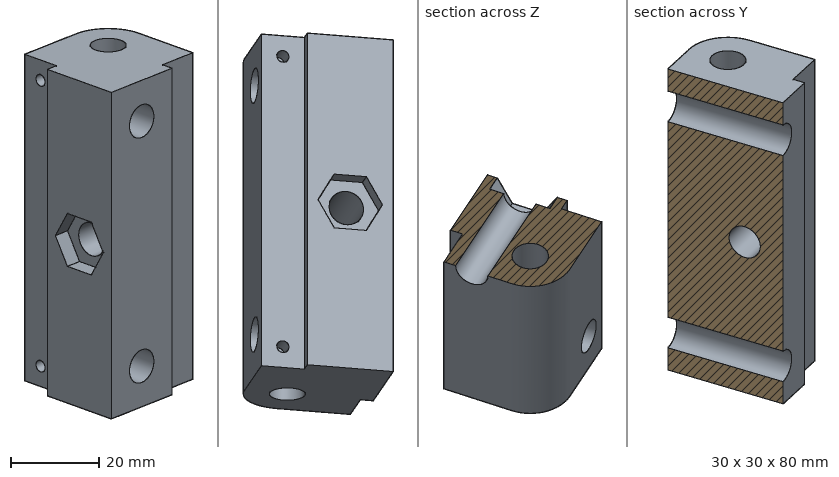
import cadquery as cq

width = 30.0
height = 80.0

corner_radius = width / 3
bore_diameter = 8.2

step_length = corner_radius
step_depth = width / 10

cross_diameter = 8.0
cross_offset = width / 3
side_hole_inset = 10.0
hex_across_flats = 13.0
hex_corner_ratio = 2 / 3**0.5
hex_depth = 4.0

pin_diameter = 2.8
pin_inset = step_length / 2
pin_depth = 4.8


def make_body():
    """Stepped profile with one rounded corner."""
    return (
        cq.Workplane("XY")
        .moveTo(0, step_depth)
        .lineTo(step_length, step_depth)
        .lineTo(step_length, 0)
        .lineTo(width, 0)
        .lineTo(width, width - step_length)
        .lineTo(width - step_depth, width - step_length)
        .lineTo(width - step_depth, width)
        .lineTo(corner_radius, width)
        .radiusArc((0, width - corner_radius), -corner_radius)
        .close()
        .extrude(height)
    )


def front_plane(y):
    """Workplane at the given Y, facing into the part: local x = X, local y = -Z."""
    return cq.Workplane(cq.Plane(origin=(0, y, 0), xDir=(1, 0, 0), normal=(0, 1, 0)))


def lengthwise_bore():
    return (
        cq.Workplane("XY")
        .center(corner_radius, width - corner_radius)
        .circle(bore_diameter / 2)
        .extrude(height)
    )


def side_holes():
    """Two holes along X, near the top and bottom ends."""
    return (
        cq.Workplane("YZ")
        .pushPoints([(cross_offset, z) for z in (side_hole_inset, height - side_hole_inset)])
        .circle(cross_diameter / 2)
        .extrude(width)
    )


def nut_hole():
    """Hole along Y at mid-height, with a hexagonal nut pocket at the front."""
    center = (width - cross_offset, -height / 2)
    hole = front_plane(0).center(*center).circle(cross_diameter / 2).extrude(width)
    hex_diameter = hex_across_flats * hex_corner_ratio
    pocket = front_plane(0).center(*center).polygon(6, hex_diameter).extrude(hex_depth)
    return hole.union(pocket)


def pin_holes():
    return (
        front_plane(step_depth)
        .pushPoints([(pin_inset, -z) for z in (pin_inset, height - pin_inset)])
        .circle(pin_diameter / 2)
        .extrude(pin_depth)
    )


result = make_body()
for cutter in (lengthwise_bore(), side_holes(), nut_hole(), pin_holes()):
    result = result.cut(cutter)